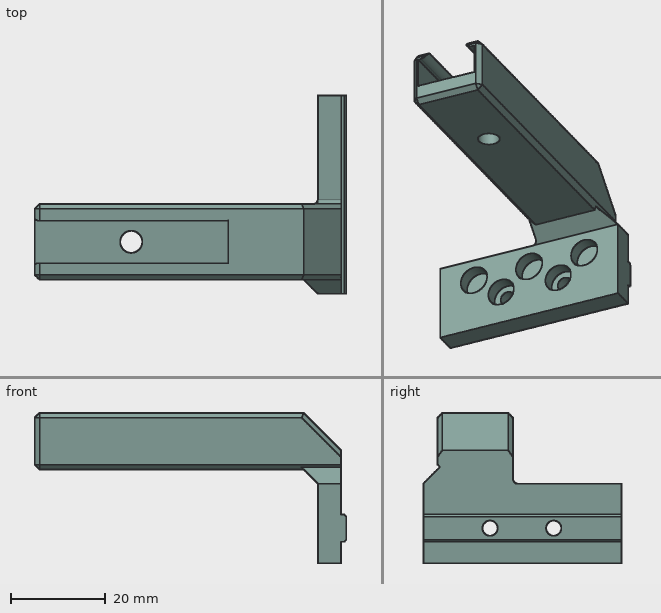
import cadquery as cq


total_length = 66
plate_width = 42.0
total_height = 31.9

rib_depth = 1.1
rib_height = 5.8
rib_chamfer = 0.495

arm_length = total_length - rib_depth
arm_width = 16.05
arm_height = 12.0
arm_offset = 3.0
arm_chamfer = 1.05
nose_cut = 7.9
arm_bottom = total_height - arm_height
arm_far_side = arm_offset + arm_width
arm_center_y = arm_offset + arm_width / 2

channel_length = 41.0
channel_floor = 3.95
channel_width = 13.2
lip_opening = 9.0
lip_thickness = 1.6
lip_radius = 1.45
floor_hole_diameter = 4.6
floor_hole_x = 20.45

plate_thickness = 4.95
plate_height = 16.9
plate_front = arm_length - plate_thickness

neck_overlap = arm_chamfer
neck_height = arm_bottom - plate_height + neck_overlap
neck_fillet = 1.0

screw_z = 7.45
screw_ys = (14.1, 27.6)
screw_diameter = 3.2
counterbore_diameter = 6.0
counterbore_depth = 3.05
magnet_z = 12.0
magnet_ys = (8.0, 21.0, 34.0)
magnet_diameter = 6.2
magnet_depth = 3.05


def make_arm():
    """Bar with a 45 degree nose, chamfered on its long edges and its free end."""
    bar = (
        cq.Workplane("XY")
        .box(arm_length, arm_width, arm_height, centered=False)
        .translate((0, arm_offset, arm_bottom))
    )
    bar = bar.edges("|Y and >X and >Z").chamfer(nose_cut)
    return bar.edges("<X or (not (|Y or >X))").chamfer(arm_chamfer)


def make_channel():
    """Channel open at the free end, with an opening narrowed by rounded lips."""
    floor_z = arm_bottom + channel_floor
    lip_z = total_height - lip_thickness
    lower = (
        cq.Workplane("XY")
        .box(channel_length, channel_width, lip_z - floor_z, centered=(False, True, False))
        .translate((0, arm_center_y, floor_z))
    )
    half_opening = lip_opening / 2
    half_flare = half_opening + lip_radius
    arc_z = lip_z + lip_radius
    slot = (
        cq.Workplane("YZ")
        .moveTo(-half_flare, lip_z)
        .radiusArc((-half_opening, arc_z), -lip_radius)
        .lineTo(-half_opening, total_height)
        .lineTo(half_opening, total_height)
        .lineTo(half_opening, arc_z)
        .radiusArc((half_flare, lip_z), -lip_radius)
        .close()
        .extrude(channel_length)
        .translate((0, arm_center_y, 0))
    )
    return lower.union(slot)


def make_floor_hole():
    return (
        cq.Workplane("XY")
        .center(floor_hole_x, arm_center_y)
        .circle(floor_hole_diameter / 2)
        .extrude(total_height)
    )


def make_plate():
    return (
        cq.Workplane("XY")
        .box(plate_thickness, plate_width, plate_height, centered=False)
        .translate((plate_front, 0, 0))
    )


def make_neck():
    """Block between plate and arm, sloping at 45 degrees at its front and its -Y side."""
    front_profile = (
        cq.Workplane("XZ")
        .moveTo(plate_front, plate_height)
        .lineTo(arm_length, plate_height)
        .lineTo(arm_length, plate_height + neck_height)
        .lineTo(plate_front - neck_height, plate_height + neck_height)
        .close()
        .extrude(-plate_width)
    )
    side_profile = (
        cq.Workplane("YZ")
        .moveTo(0, plate_height)
        .lineTo(neck_height, plate_height + neck_height)
        .lineTo(arm_far_side, plate_height + neck_height)
        .lineTo(arm_far_side, plate_height + neck_fillet)
        .radiusArc((arm_far_side + neck_fillet, plate_height), -neck_fillet)
        .close()
        .extrude(arm_length)
    )
    return front_profile.intersect(side_profile)


def make_rib():
    """Rib across the back of the plate, chamfered along its outer edges."""
    rib = (
        cq.Workplane("XY")
        .box(rib_depth, plate_width, rib_height, centered=(False, False, True))
        .translate((arm_length, 0, screw_z))
    )
    return rib.edges("|Y and >X").chamfer(rib_chamfer)


def plate_holes(y_places, z, diameter, depth):
    """Round holes sunk into the front of the plate."""
    return (
        cq.Workplane("YZ", origin=(plate_front, 0, 0))
        .pushPoints([(y, z) for y in y_places])
        .circle(diameter / 2)
        .extrude(depth)
    )


arm = make_arm().cut(make_channel()).cut(make_floor_hole())
result = (
    arm.union(make_plate())
    .union(make_neck())
    .union(make_rib())
    .cut(plate_holes(screw_ys, screw_z, screw_diameter, total_length - plate_front))
    .cut(plate_holes(screw_ys, screw_z, counterbore_diameter, counterbore_depth))
    .cut(plate_holes(magnet_ys, magnet_z, magnet_diameter, magnet_depth))
)